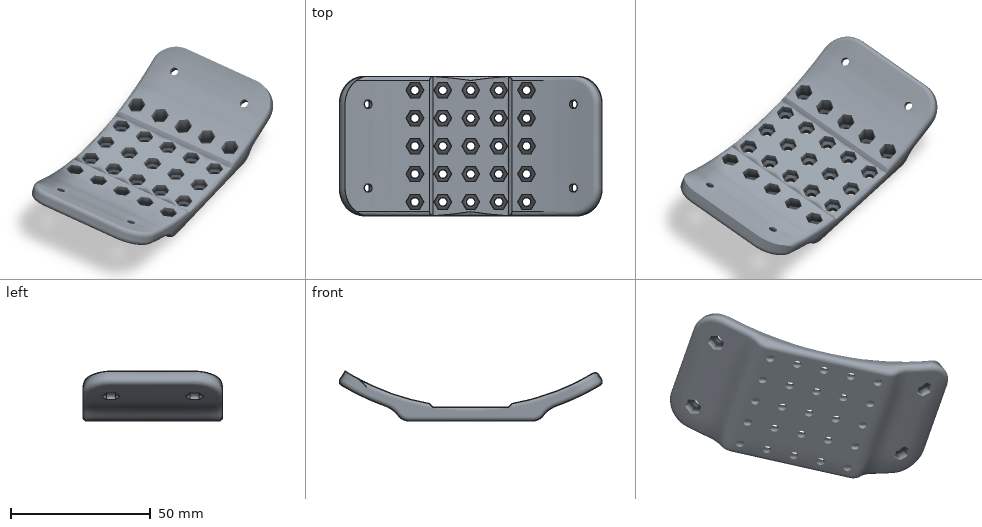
import cadquery as cq
import math

width = 50.0
inner_radius = 85.0
thickness = 5.0
outer_radius = inner_radius + thickness
axis_z = outer_radius
end_x = 45.0
end_angle = math.degrees(math.asin(end_x / inner_radius))
corner_radius = 10.0
edge_radius = 1.5

pad_half_length = 22.0
pad_edge_radius = 5.0
pad_blend_radius = 10.0

recess_floor_z = 5.0
recess_half_length = 13.5
recess_wall_height = 3.0

hole_diameter = 3.0
nut_sides = 6
nut_across_flats = 5.5
nut_corner_diameter = nut_across_flats / math.cos(math.pi / nut_sides)
grid_pitch = 10.0
grid_count = 5
grid_nut_floor_z = 2.0
wing_hole_angle = end_angle - math.degrees(corner_radius / outer_radius)
wing_hole_y = width / 2 - corner_radius
wing_nut_depth = 3.0

clearance = 20.0


def on_arc(radius, angle):
    """Point (x, z) on an arc about the plate axis, at an angle in degrees from straight down."""
    a = math.radians(angle)
    return radius * math.sin(a), axis_z - radius * math.cos(a)


def mirrored(point):
    return -point[0], point[1]


def toward(start, end, distance):
    """Point at a distance from start along the line to end."""
    t = distance / math.dist(start, end)
    return start[0] + t * (end[0] - start[0]), start[1] + t * (end[1] - start[1])


def arc_middle(centre, start, end, radius):
    """Middle of the shorter arc between two points of a circle."""
    chord_middle = ((start[0] + end[0]) / 2, (start[1] + end[1]) / 2)
    return toward(centre, chord_middle, radius)


def pad_flank():
    """Outline points of half the lower side, from the flat's end to the middle of the wing arc."""
    plate_centre = (0, axis_z)
    edge_centre = (pad_half_length, pad_edge_radius)
    to_plate = outer_radius + pad_blend_radius
    to_edge = pad_edge_radius + pad_blend_radius
    centre_gap = math.dist(plate_centre, edge_centre)
    edge_direction = math.asin(pad_half_length / centre_gap)
    opening = math.acos((to_plate**2 + centre_gap**2 - to_edge**2) / (2 * to_plate * centre_gap))
    blend_angle = math.degrees(edge_direction + opening)
    blend_centre = on_arc(to_plate, blend_angle)

    flat_end = (pad_half_length, 0)
    edge_end = toward(edge_centre, blend_centre, pad_edge_radius)
    blend_end = on_arc(outer_radius, blend_angle)

    edge_middle = arc_middle(edge_centre, flat_end, edge_end, pad_edge_radius)
    blend_middle = arc_middle(blend_centre, edge_end, blend_end, pad_blend_radius)
    outer_middle = on_arc(outer_radius, (blend_angle + end_angle) / 2)
    return flat_end, edge_middle, edge_end, blend_middle, blend_end, outer_middle


def plate_blank():
    flat_end, edge_middle, edge_end, blend_middle, blend_end, outer_middle = pad_flank()
    inner_end = on_arc(inner_radius, end_angle)
    outer_end = on_arc(outer_radius, end_angle)
    return (
        cq.Workplane("XZ")
        .moveTo(*mirrored(flat_end))
        .lineTo(*flat_end)
        .threePointArc(edge_middle, edge_end)
        .threePointArc(blend_middle, blend_end)
        .threePointArc(outer_middle, outer_end)
        .lineTo(*inner_end)
        .threePointArc(on_arc(inner_radius, 0), mirrored(inner_end))
        .lineTo(*mirrored(outer_end))
        .threePointArc(mirrored(outer_middle), mirrored(blend_end))
        .threePointArc(mirrored(blend_middle), mirrored(edge_end))
        .threePointArc(mirrored(edge_middle), mirrored(flat_end))
        .close()
        .extrude(width / 2, both=True)
    )


def wing_plane(side, angle):
    """Plane touching the lower arc at an angle up one wing; local +Y points toward the tip."""
    x, z = on_arc(outer_radius, angle)
    tilt = math.radians(angle)
    return cq.Plane(
        origin=(side * x, 0, z),
        xDir=(0, -side, 0),
        normal=(-side * math.sin(tilt), 0, math.cos(tilt)),
    )


def corner_cutter(side):
    """Waste outside the two rounded corners of one wing tip."""
    half_width = width / 2
    arc_start = half_width - corner_radius
    arc_reach = corner_radius * math.cos(math.radians(45))
    waste = (
        cq.Workplane(wing_plane(side, end_angle))
        .moveTo(arc_start, 0)
        .threePointArc((arc_start + arc_reach, arc_reach - corner_radius), (half_width, -corner_radius))
        .lineTo(half_width + clearance, -corner_radius)
        .lineTo(half_width + clearance, clearance)
        .lineTo(arc_start, clearance)
        .close()
        .extrude(clearance, both=True)
    )
    return waste.union(waste.mirror("XZ"))


def upper_rim(body):
    """Edges of the upper face, leaving out the sharp edge at the -X end."""
    middle_of_upper_face = (0, 0, axis_z - inner_radius)
    upper_face = cq.selectors.NearestToPointSelector(middle_of_upper_face)
    return body.faces(upper_face).edges("not <X")


def rounded_plate():
    """Plate with rounded corners; the +X corners are cut first so that the upper fillet runs round them."""
    body = plate_blank().cut(corner_cutter(1))
    body = upper_rim(body).fillet(edge_radius)
    body = body.cut(corner_cutter(-1))
    return body.faces("<Z").edges(">Y").fillet(edge_radius)


def recess_cutter():
    """Flat-floored channel along Y with walls sloping at 45 degrees."""
    top_half_length = recess_half_length + recess_wall_height
    return (
        cq.Workplane("XZ")
        .moveTo(-recess_half_length, recess_floor_z)
        .lineTo(recess_half_length, recess_floor_z)
        .lineTo(top_half_length, recess_floor_z + recess_wall_height)
        .lineTo(-top_half_length, recess_floor_z + recess_wall_height)
        .close()
        .extrude(width / 2, both=True)
    )


def grid_cutter():
    """Grid of upright bolt holes with nut pockets open at the top."""
    points = cq.Workplane("XY").rarray(grid_pitch, grid_pitch, grid_count, grid_count)
    holes = points.circle(hole_diameter / 2).extrude(clearance)
    nuts = (
        cq.Workplane("XY", origin=(0, 0, grid_nut_floor_z))
        .rarray(grid_pitch, grid_pitch, grid_count, grid_count)
        .polygon(nut_sides, nut_corner_diameter)
        .extrude(clearance)
    )
    return holes.union(nuts)


def wing_cutter(side):
    """Two bolt holes square to one wing, with nut pockets in the lower face."""
    plane = wing_plane(side, wing_hole_angle)
    places = [(-wing_hole_y, 0), (wing_hole_y, 0)]
    holes = cq.Workplane(plane).pushPoints(places).circle(hole_diameter / 2).extrude(clearance)
    nuts = (
        cq.Workplane(plane)
        .workplane(offset=wing_nut_depth)
        .pushPoints(places)
        .polygon(nut_sides, nut_corner_diameter)
        .extrude(-clearance)
    )
    return holes.union(nuts)


result = rounded_plate().cut(recess_cutter()).cut(grid_cutter())
for side in (-1, 1):
    result = result.cut(wing_cutter(side))